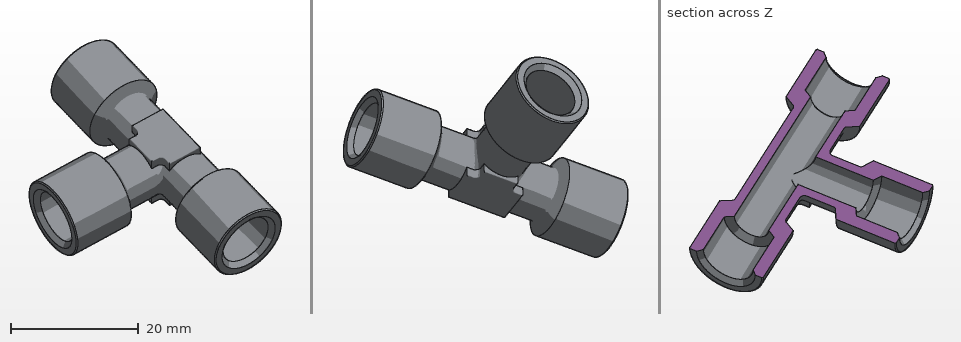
import cadquery as cq
import math


run_reach = 22.0
branch_reach = 22.0

tube_radius = 4.5
socket_radius = 6.5
socket_length = 10.55
socket_rim_chamfer = 0.2
shoulder_angle = 30.0
shoulder_fillet = 0.5
crotch_fillet = 0.8

bore_radius = 3.0
thread_radius = 4.35
thread_depth = 8.0
mouth_radius = 5.15
mouth_angle = 45.0
drill_point_angle = 118.0

pad_width = 10.0
pad_half_depth = 3.0
pad_height = 10.0
nose_width = 6.0
nose_reach = 5.0
pad_corner_fillet = 0.8
pad_edge_fillet = 0.2

arms = [(0, run_reach), (180, run_reach), (-90, branch_reach)]


def revolve_about_x(profile):
    return profile.revolve(360, (0, 0, 0), (1, 0, 0))


def make_tube(reach):
    """Plain tube body from the origin to the socket face, along +X."""
    return cq.Workplane("YZ").circle(tube_radius).extrude(reach)


def make_socket(reach):
    """Socket with its conical shoulder, blended into the tube by a concave arc."""
    shoulder_end = reach - socket_length
    slope = math.radians(shoulder_angle)
    shoulder_start = shoulder_end - (socket_radius - tube_radius) * math.tan(slope)

    turn = math.radians(90 - shoulder_angle)
    tangent = shoulder_fillet * math.tan(turn / 2)
    arc_start = (shoulder_start - tangent, tube_radius)
    arc_end = (shoulder_start + tangent * math.cos(turn), tube_radius + tangent * math.sin(turn))
    arc_middle = (
        arc_start[0] + shoulder_fillet * math.sin(turn / 2),
        tube_radius + shoulder_fillet * (1 - math.cos(turn / 2)),
    )
    profile = (
        cq.Workplane("XY")
        .moveTo(arc_start[0], 0)
        .lineTo(*arc_start)
        .threePointArc(arc_middle, arc_end)
        .lineTo(shoulder_end, socket_radius)
        .lineTo(reach - socket_rim_chamfer, socket_radius)
        .lineTo(reach, socket_radius - socket_rim_chamfer)
        .lineTo(reach, 0)
        .close()
    )
    return revolve_about_x(profile)


def make_bore(reach):
    """Through bore, drill-point cone, thread hole and mouth countersink, along +X."""
    thread_end = reach - thread_depth
    cone_length = (thread_radius - bore_radius) / math.tan(math.radians(drill_point_angle / 2))
    mouth_depth = (mouth_radius - thread_radius) / math.tan(math.radians(mouth_angle))
    points = [
        (0, 0),
        (0, bore_radius),
        (thread_end - cone_length, bore_radius),
        (thread_end, thread_radius),
        (reach - mouth_depth, thread_radius),
        (reach, mouth_radius),
        (reach, 0),
    ]
    return revolve_about_x(cq.Workplane("XY").polyline(points).close())


def make_pads():
    """T-shaped block whose top and bottom stand proud of the tubes."""
    bar = cq.Workplane("XY").box(pad_width, 2 * pad_half_depth, pad_height)
    nose = cq.Workplane("XY").box(nose_width, nose_reach, pad_height).translate((0, -nose_reach / 2, 0))
    block = bar.union(nose)
    for side in (-1, 1):
        inner_corner = (side * nose_width / 2, -pad_half_depth, 0)
        block = block.edges(cq.selectors.NearestToPointSelector(inner_corner)).fillet(pad_corner_fillet)
    return block.faces("|Z").edges().fillet(pad_edge_fillet)


def place(arm, angle):
    return arm.rotate((0, 0, 0), (0, 0, 1), angle)


def make_crossing():
    """The three plain tubes, with the two crotches between run and branch rounded."""
    tubes = place(make_tube(arms[0][1]), arms[0][0])
    for angle, reach in arms[1:]:
        tubes = tubes.union(place(make_tube(reach), angle))
    for side in (-1, 1):
        crotch = (side * tube_radius, -tube_radius, 0)
        tubes = tubes.edges(cq.selectors.NearestToPointSelector(crotch)).fillet(crotch_fillet)
    return tubes


result = make_crossing()
for angle, reach in arms:
    result = result.union(place(make_socket(reach), angle))
result = result.union(make_pads())
for angle, reach in arms:
    result = result.cut(place(make_bore(reach), angle))